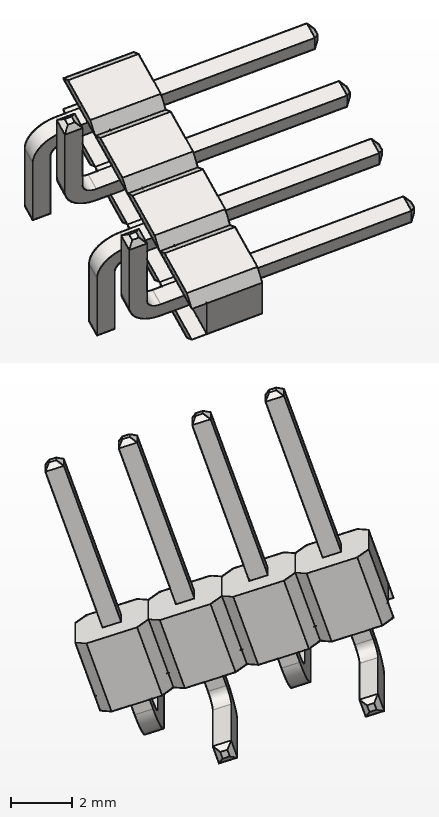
import cadquery as cq


row_length = 10.16
overall_depth = 10.36
overall_height = 8.54

unit_count = 4
pitch = row_length / unit_count
housing_depth = pitch
housing_height = pitch
corner_chamfer = 0.39
core_depth = 2.0

pin_size = 0.64
tip_chamfer = 0.2
bend_inner_radius = 0.49
bend_radius = bend_inner_radius + pin_size / 2
rear_pin_length = 6.0

rear_tip_y = rear_pin_length
front_leg_y = rear_tip_y - overall_depth + pin_size / 2
bend_start_y = front_leg_y + bend_radius
leg_tip_height = overall_height / 2


def housing_segment():
    """Block with chamfered long edges and a front recess between two flanges."""
    recess_depth = housing_depth - core_depth
    recess_height = housing_height - 2 * corner_chamfer
    block = (
        cq.Workplane("XY")
        .box(pitch, housing_depth, housing_height)
        .edges("|Y")
        .chamfer(corner_chamfer)
        .translate((0, -housing_depth / 2, 0))
    )
    recess = (
        cq.Workplane("XY")
        .box(pitch, recess_depth, recess_height)
        .translate((0, -core_depth - recess_depth / 2, 0))
    )
    return block.cut(recess)


def bent_pin(leg_direction):
    """Square pin with tapered tips; leg_direction is 1 for a leg up, -1 for a leg down."""
    bend_path = (
        cq.Workplane("YZ")
        .moveTo(rear_tip_y, 0)
        .lineTo(bend_start_y, 0)
        .tangentArcPoint((front_leg_y, leg_direction * bend_radius), relative=False)
        .lineTo(front_leg_y, leg_direction * leg_tip_height)
    )
    pin = (
        cq.Workplane("XZ", origin=(0, rear_tip_y, 0))
        .rect(pin_size, pin_size)
        .sweep(bend_path)
    )
    leg_tip = ">Z" if leg_direction > 0 else "<Z"
    return pin.faces(">Y").chamfer(tip_chamfer).faces(leg_tip).chamfer(tip_chamfer)


def header_unit(index):
    """One housing segment with its pin, set in its place along the row."""
    leg_direction = -1 if index % 2 == 0 else 1
    unit_x = (index - (unit_count - 1) / 2) * pitch
    unit = housing_segment().union(bent_pin(leg_direction))
    return unit.translate((unit_x, 0, 0))


header_units = [header_unit(index).solids().val() for index in range(unit_count)]

result = cq.Compound.makeCompound(header_units)